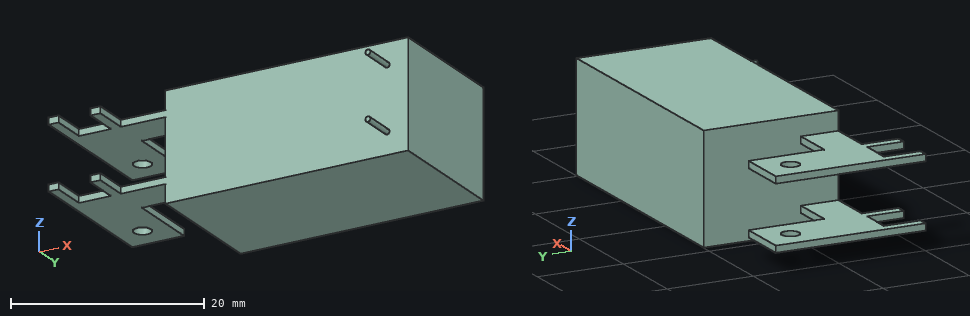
import cadquery as cq

body_length = 29.0
body_depth = 15.7
body_height = 12.7

terminal_reach = 11.5
terminal_thickness = 0.8
row_spacing = 7.5
neck_width = 4.4
blade_width = 6.2
blade_setback = 2.5
blade_hole_diameter = 2.0
blade_hole_edge_distance = 3.3

leg_length = 4.25
leg_width = 1.2
leg_pitch = 5.0

pin_diameter = 0.6
pin_length = 4.0
pin_end_distance = 2.5

row_heights = (-row_spacing / 2, row_spacing / 2)
terminal_tip_x = -terminal_reach
blade_top_y = body_depth - blade_setback


def make_body():
    return cq.Workplane("XY").box(
        body_length, body_depth, body_height, centered=(False, False, True)
    )


def make_plate(x_start, y_start, width, depth):
    """Plate of terminal thickness, centred on Z = 0, with its lower-left corner given."""
    plate = cq.Workplane("XY").box(
        width, depth, terminal_thickness, centered=(False, False, True)
    )
    return plate.translate((x_start, y_start, 0))


def make_terminal():
    """Upright blade with a hole, a neck to the housing and two legs below it."""
    terminal = make_plate(terminal_tip_x, 0, blade_width, blade_top_y)
    terminal = terminal.union(make_plate(terminal_tip_x, 0, terminal_reach, neck_width))
    for leg_x in (terminal_tip_x, terminal_tip_x + leg_pitch):
        leg = make_plate(leg_x, -leg_length, leg_width, leg_length + neck_width)
        terminal = terminal.union(leg)
    hole = (
        cq.Workplane("XY")
        .center(terminal_tip_x + blade_width / 2, blade_top_y - blade_hole_edge_distance)
        .circle(blade_hole_diameter / 2)
        .extrude(terminal_thickness, both=True)
    )
    return terminal.cut(hole).clean()


def make_pin():
    """Round pin pointing to -Y from the pin face."""
    return (
        cq.Workplane("XZ")
        .center(body_length - pin_end_distance, 0)
        .circle(pin_diameter / 2)
        .extrude(pin_length)
    )


result = make_body()
for row_z in row_heights:
    result = result.union(make_terminal().translate((0, 0, row_z)))
    result = result.union(make_pin().translate((0, 0, row_z)))